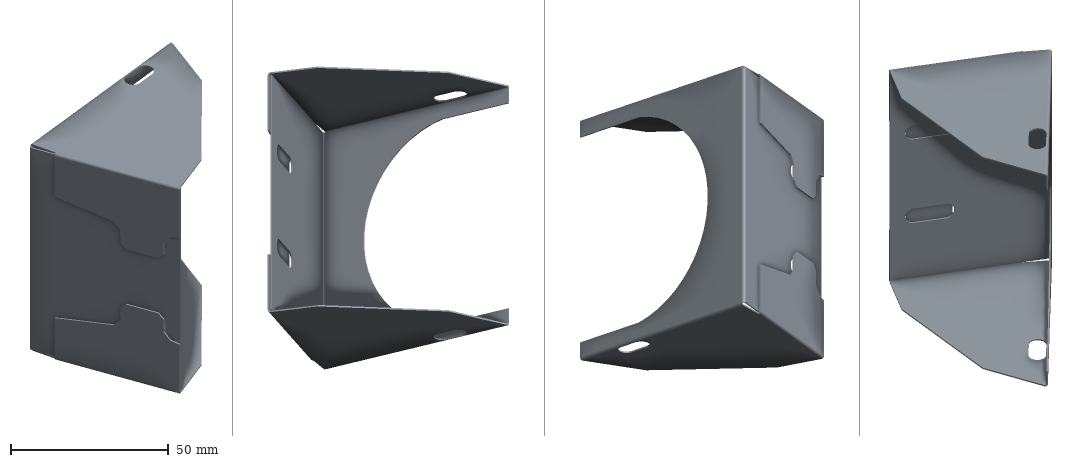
import cadquery as cq
import math

WIDTH = 52.7
DEPTH = 69.1
HEIGHT = 81.8

THICKNESS = 0.5
BEND_RADIUS = 0.9
INNER_BEND_RADIUS = BEND_RADIUS - THICKNESS

PANEL_FACE_Y = 0.9
PANEL_HALF_HEIGHT = HEIGHT / 2 - BEND_RADIUS

SLANT_ANGLE = 15.0
CUTOUT_RADIUS = 35.5
CUTOUT_HALF_HEIGHT = 35.0
CUTOUT_CENTRE_Y = 50.4

PLATE_SHOULDER = (35.7, 54.6)
PLATE_RIGHT_EDGE_Y = 16.8
PLATE_SLOT_CENTRE = (16.4, 49.0)
PLATE_SLOT_LENGTH = 11.6
SLOT_WIDTH = 5.6

FLAP_START_X = 9.3
FLAP_END_Z = 24.1
FLAP_EDGE_SLOPE = 10.0
TAB_CENTRE_X = 39.7
TAB_WIDTH = 15.1
TAB_TIP_Z = 10.95
TAB_CHAMFER = 2.0
NECK_CHAMFER = 2.3

PANEL_SLOT_LENGTH = 16.1
PANEL_SLOT_Z = 16.1

SIN_SLANT = math.sin(math.radians(SLANT_ANGLE))
COS_SLANT = math.cos(math.radians(SLANT_ANGLE))

CORNER_CENTRE_Y = PANEL_FACE_Y + BEND_RADIUS
SLANT_START = (
    BEND_RADIUS * (1 - COS_SLANT),
    CORNER_CENTRE_Y + BEND_RADIUS * SIN_SLANT,
)
SLANT_LENGTH = (DEPTH - SLANT_START[1]) / COS_SLANT


def slant_point(along, inward):
    """XY point at a distance along the slanted panel and inward from its outer face."""
    return (
        SLANT_START[0] + along * SIN_SLANT + inward * COS_SLANT,
        SLANT_START[1] + along * COS_SLANT - inward * SIN_SLANT,
    )


def channel(length, reach):
    """U-shaped sheet along X: web on Y = 0, legs reaching toward +Y at the top and bottom."""
    outer = (
        cq.Workplane("XY").box(length, reach, HEIGHT, centered=(False, False, True))
        .edges("|X and <Y").fillet(BEND_RADIUS)
    )
    inner = (
        cq.Workplane("XY").box(length, reach, HEIGHT - 2 * THICKNESS, centered=(False, False, True))
        .edges("|X and <Y").fillet(INNER_BEND_RADIUS)
        .translate((0, THICKNESS, 0))
    )
    return outer.cut(inner)


def plate_outline():
    """XY outline of the slanted panel and side plates, up to the flap bends."""
    return [
        slant_point(0, 0),
        slant_point(SLANT_LENGTH, 0),
        slant_point(SLANT_LENGTH, BEND_RADIUS),
        PLATE_SHOULDER,
        (WIDTH, PLATE_RIGHT_EDGE_Y),
        (WIDTH, BEND_RADIUS),
        (FLAP_START_X, BEND_RADIUS),
        slant_point(0, BEND_RADIUS),
    ]


def side_plates_and_slanted_panel():
    """Slanted panel with both side plates, trimmed to the side plate outline."""
    blank = (
        channel(SLANT_LENGTH, WIDTH + DEPTH)
        .mirror("XZ")
        .rotate((0, 0, 0), (0, 0, 1), 90 - SLANT_ANGLE)
        .translate((*SLANT_START, 0))
    )
    plate_region = cq.Workplane("XY").polyline(plate_outline()).close().extrude(HEIGHT / 2, both=True)
    return blank.intersect(plate_region)


def corner_arc_middle(radius):
    """Middle of the corner bend at a given radius."""
    angle = math.radians((180 - SLANT_ANGLE + 270) / 2)
    return (
        BEND_RADIUS + radius * math.cos(angle),
        CORNER_CENTRE_Y + radius * math.sin(angle),
    )


def front_panel():
    """Front panel with the corner bend that joins it to the slanted panel."""
    outline = (
        cq.Workplane("XY")
        .moveTo(*slant_point(0, 0))
        .threePointArc(corner_arc_middle(BEND_RADIUS), (BEND_RADIUS, PANEL_FACE_Y))
        .lineTo(WIDTH, PANEL_FACE_Y)
        .lineTo(WIDTH, PANEL_FACE_Y + THICKNESS)
        .lineTo(BEND_RADIUS, PANEL_FACE_Y + THICKNESS)
        .threePointArc(corner_arc_middle(INNER_BEND_RADIUS), slant_point(0, THICKNESS))
        .close()
    )
    slots = (
        cq.Workplane("XZ")
        .pushPoints([(TAB_CENTRE_X, PANEL_SLOT_Z), (TAB_CENTRE_X, -PANEL_SLOT_Z)])
        .slot2D(PANEL_SLOT_LENGTH, SLOT_WIDTH)
        .extrude(-DEPTH)
    )
    return outline.extrude(PANEL_HALF_HEIGHT, both=True).cut(slots)


def flap_outline():
    """XZ outline of the upper flap, ending in a chamfered tab."""
    slope = math.radians(FLAP_EDGE_SLOPE)
    tab_left = TAB_CENTRE_X - TAB_WIDTH / 2
    tab_right = TAB_CENTRE_X + TAB_WIDTH / 2
    neck_z = FLAP_END_Z - (tab_left - FLAP_START_X) * math.tan(slope)
    neck_run = NECK_CHAMFER * math.cos(slope)
    neck_rise = NECK_CHAMFER * math.sin(slope)
    return [
        (FLAP_START_X, HEIGHT / 2),
        (FLAP_START_X, FLAP_END_Z),
        (tab_left - neck_run, neck_z + neck_rise),
        (tab_left, neck_z - NECK_CHAMFER),
        (tab_left, TAB_TIP_Z + TAB_CHAMFER),
        (tab_left + TAB_CHAMFER, TAB_TIP_Z),
        (tab_right - TAB_CHAMFER, TAB_TIP_Z),
        (tab_right, TAB_TIP_Z + TAB_CHAMFER),
        (tab_right, neck_z - NECK_CHAMFER),
        (tab_right + neck_run, neck_z + neck_rise),
        (WIDTH, neck_z + (WIDTH - tab_right) * math.tan(slope)),
        (WIDTH, HEIGHT / 2),
    ]


def flaps():
    """Both flaps with the bends that join them to the side plates."""
    blank = channel(WIDTH, 2 * BEND_RADIUS)
    upper_region = cq.Workplane("XZ").polyline(flap_outline()).close().extrude(-BEND_RADIUS)
    upper = blank.intersect(upper_region)
    return upper.union(upper.mirror("XY"))


def panel_cutout():
    """Round-bottomed opening through the slanted panel, open at its far edge."""
    centre = (CUTOUT_CENTRE_Y - SLANT_START[1]) / COS_SLANT
    chord = math.sqrt(CUTOUT_RADIUS**2 - CUTOUT_HALF_HEIGHT**2)
    origin = slant_point(centre, -BEND_RADIUS)
    plane = cq.Plane(
        origin=(origin[0], origin[1], 0),
        xDir=(SIN_SLANT, COS_SLANT, 0),
        normal=(COS_SLANT, -SIN_SLANT, 0),
    )
    return (
        cq.Workplane(plane)
        .moveTo(SLANT_LENGTH, CUTOUT_HALF_HEIGHT)
        .lineTo(-chord, CUTOUT_HALF_HEIGHT)
        .threePointArc((-CUTOUT_RADIUS, 0), (-chord, -CUTOUT_HALF_HEIGHT))
        .lineTo(SLANT_LENGTH, -CUTOUT_HALF_HEIGHT)
        .close()
        .extrude(2 * BEND_RADIUS)
    )


def plate_slots():
    """Slots through both side plates, running parallel to the slanted panel."""
    return (
        cq.Workplane("XY")
        .center(*PLATE_SLOT_CENTRE)
        .slot2D(PLATE_SLOT_LENGTH, SLOT_WIDTH, 90 - SLANT_ANGLE)
        .extrude(HEIGHT / 2, both=True)
    )


result = (
    side_plates_and_slanted_panel()
    .cut(panel_cutout())
    .cut(plate_slots())
    .union(front_panel())
    .union(flaps())
)